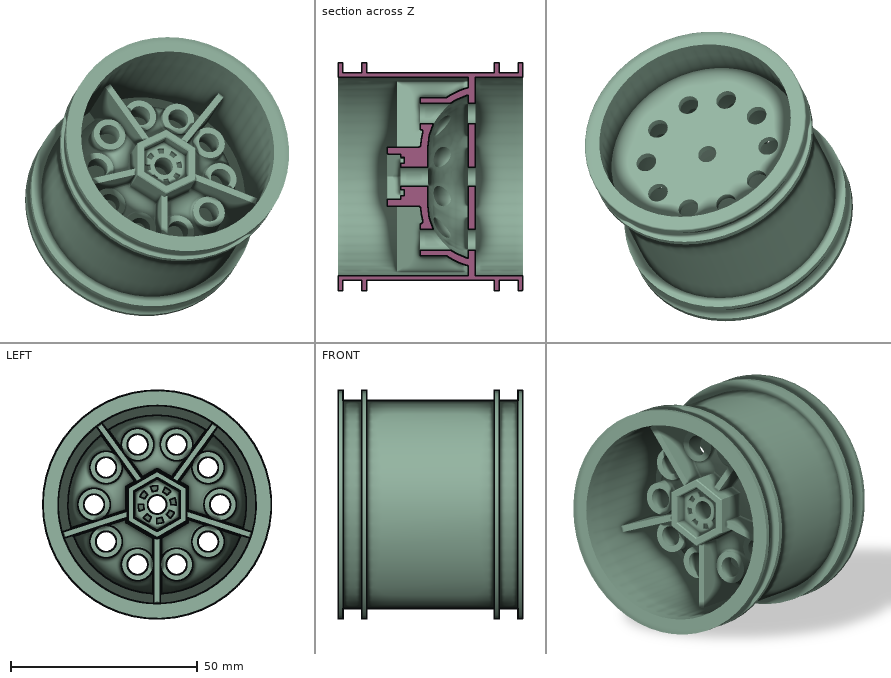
import cadquery as cq
import math

WIDTH = 49.58
FLANGE_RADIUS = 30.66
BARREL_RADIUS = 27.9
BORE_RADIUS = 26.55
FLANGE_THICKNESS = 1.4
FLANGE_PITCH = 6.35
BACK_EDGE_FILLET = 0.4

CROWN_X = 22.1
CROWN_RADIUS = 7.6
SHOULDER_RADIUS = 16.85
DOME_RADIUS = 23.93
WEB_THICKNESS = 2.0
ROOT_FILLET = 0.5

HUB_FACE_X = 13.1
HUB_FLATS = 16.0
SOCKET_FLATS = 12.0
SOCKET_DEPTH = 3.6
HUB_CHAMFER = 0.25
MOUTH_CHAMFER = HUB_CHAMFER * 0.999
AXLE_HOLE_RADIUS = 2.5

POCKET_COUNT = 8
POCKET_INNER_RADIUS = 3.65
POCKET_OUTER_RADIUS = 5.1
POCKET_START_ANGLE = -20.5
POCKET_SPAN_ANGLE = 22.0
POCKET_DEPTH = 1.0

BOSS_COUNT = 10
BOSS_CIRCLE_RADIUS = 16.9
BOSS_RADIUS = 4.35
BOSS_HOLE_RADIUS = 2.72
BOSS_FACE_X = 22.0

RIB_COUNT = 5
RIB_THICKNESS = 1.7
RIB_FACE_X = 15.8
FIRST_RIB_ANGLE = -90.0

SHOULDER_CENTRE_X = CROWN_X + SHOULDER_RADIUS
DOME_EDGE_SLOPE = math.asin((DOME_RADIUS - CROWN_RADIUS) / SHOULDER_RADIUS)
DOME_EDGE_X = SHOULDER_CENTRE_X - SHOULDER_RADIUS * math.cos(DOME_EDGE_SLOPE)
WEB_BACK_X = DOME_EDGE_X + WEB_THICKNESS

DOME_STEP = 0.01
SEAM_ANGLE = FIRST_RIB_ANGLE - 90 + 360 / RIB_COUNT
AXIS_START = (0, 0, 0)
AXIS_END = (1, 0, 0)


def cross_section(x):
    """Workplane across the axle at the given X; local x is Y and local y is Z."""
    return cq.Workplane("YZ", origin=(x, 0, 0))


def disc(start_x, end_x, radius):
    return cross_section(start_x).circle(radius).extrude(end_x - start_x)


def hexagon(start_x, end_x, flats):
    """Hexagonal prism along X with two corners on the Z axis."""
    corner_diameter = flats / math.cos(math.pi / 6)
    return (
        cross_section(start_x)
        .transformed(rotate=(0, 0, 90))
        .polygon(6, corner_diameter)
        .extrude(end_x - start_x)
    )


def rim():
    """Barrel with four flanges, bored right through."""
    body = disc(0, WIDTH, BARREL_RADIUS)
    front_flanges = (0, FLANGE_PITCH)
    back_flanges = [WIDTH - FLANGE_THICKNESS - x for x in front_flanges]
    for x in (*front_flanges, *back_flanges):
        body = body.union(disc(x, x + FLANGE_THICKNESS, FLANGE_RADIUS))
    outer_edge = cq.selectors.RadiusNthSelector(-1)
    body = body.faces(">X").edges(outer_edge).fillet(BACK_EDGE_FILLET)
    return body.cut(disc(0, WIDTH, BORE_RADIUS))


def dome_fill(offset):
    """Solid between the dome surface, moved inwards by the offset, and the plane of its edge."""
    radius = SHOULDER_RADIUS - offset

    def shoulder_point(slope):
        return (
            SHOULDER_CENTRE_X - radius * math.cos(slope),
            CROWN_RADIUS + radius * math.sin(slope),
        )

    end_slope = math.acos((SHOULDER_CENTRE_X - DOME_EDGE_X) / radius)
    return (
        cq.Workplane("XZ")
        .moveTo(CROWN_X + offset, 0)
        .lineTo(*shoulder_point(0))
        .threePointArc(shoulder_point(end_slope / 2), shoulder_point(end_slope))
        .lineTo(DOME_EDGE_X, 0)
        .close()
        .revolve(360, AXIS_START, AXIS_END)
        .rotate(AXIS_START, AXIS_END, SEAM_ANGLE)
    )


def rooted_on_dome(features, sink):
    """Join features to a dome sunk by the given amount and fillet the edges where they meet it."""
    joined = dome_fill(sink).union(features)
    dome_faces = joined.faces("%REVOLUTION")
    feature_edges = joined.faces("not %REVOLUTION").edges().vals()
    roots = [
        edge
        for edge in dome_faces.edges().vals()
        if edge.Center().x < DOME_EDGE_X - ROOT_FILLET
        and any(edge.isSame(other) for other in feature_edges)
    ]
    return joined.newObject(roots).fillet(ROOT_FILLET)


def hub():
    body = hexagon(HUB_FACE_X, DOME_EDGE_X, HUB_FLATS)
    return body.faces("<X").edges().chamfer(HUB_CHAMFER)


def bosses():
    return (
        cross_section(BOSS_FACE_X)
        .polarArray(BOSS_CIRCLE_RADIUS, 0, 360, BOSS_COUNT)
        .circle(BOSS_RADIUS)
        .extrude(DOME_EDGE_X - BOSS_FACE_X)
    )


def ribs(end_radius):
    """Flat ribs from the axis out to a cylinder of the given radius."""
    body = cq.Workplane("XY")
    for index in range(RIB_COUNT):
        rib = (
            cross_section(RIB_FACE_X)
            .transformed(rotate=(0, 0, FIRST_RIB_ANGLE + index * 360 / RIB_COUNT))
            .center(end_radius / 2, 0)
            .rect(end_radius, RIB_THICKNESS)
            .extrude(DOME_EDGE_X - RIB_FACE_X)
        )
        body = body.union(rib)
    return body.intersect(disc(RIB_FACE_X, DOME_EDGE_X, end_radius))


def web():
    """Hollow dome with hub, bosses and ribs, carried on a flat ring inside the barrel."""
    body = rooted_on_dome(bosses(), 0)
    body = body.union(rooted_on_dome(hub(), DOME_STEP))
    body = body.union(rooted_on_dome(ribs(BORE_RADIUS), 2 * DOME_STEP))
    flat_ring = disc(DOME_EDGE_X, WEB_BACK_X, BORE_RADIUS)
    hollow = dome_fill(WEB_THICKNESS)
    hollow_mouth = hollow.faces(">X").wires().toPending().extrude(WEB_THICKNESS)
    return body.union(flat_ring).cut(hollow).cut(hollow_mouth)


def socket():
    """Hexagonal recess with a chamfered mouth."""
    recess = hexagon(HUB_FACE_X, HUB_FACE_X + SOCKET_DEPTH, SOCKET_FLATS)
    mouth_flats = SOCKET_FLATS + 2 * HUB_CHAMFER
    mouth = hexagon(HUB_FACE_X, HUB_FACE_X + HUB_CHAMFER, mouth_flats)
    return recess.union(mouth.faces(">X").edges().chamfer(MOUTH_CHAMFER))


def floor_pockets():
    """Ring-sector pockets sunk into the socket floor."""
    floor_x = HUB_FACE_X + SOCKET_DEPTH

    def ring_point(radius, angle):
        return (radius * math.cos(math.radians(angle)), radius * math.sin(math.radians(angle)))

    pockets = cq.Workplane("XY")
    for index in range(POCKET_COUNT):
        start = POCKET_START_ANGLE + index * 360 / POCKET_COUNT
        middle = start + POCKET_SPAN_ANGLE / 2
        end = start + POCKET_SPAN_ANGLE
        pocket = (
            cross_section(floor_x)
            .moveTo(*ring_point(POCKET_INNER_RADIUS, start))
            .lineTo(*ring_point(POCKET_OUTER_RADIUS, start))
            .threePointArc(ring_point(POCKET_OUTER_RADIUS, middle), ring_point(POCKET_OUTER_RADIUS, end))
            .lineTo(*ring_point(POCKET_INNER_RADIUS, end))
            .threePointArc(ring_point(POCKET_INNER_RADIUS, middle), ring_point(POCKET_INNER_RADIUS, start))
            .close()
            .extrude(POCKET_DEPTH)
        )
        pockets = pockets.union(pocket)
    return pockets


def through_holes():
    boss_holes = (
        cross_section(0)
        .polarArray(BOSS_CIRCLE_RADIUS, 0, 360, BOSS_COUNT)
        .circle(BOSS_HOLE_RADIUS)
        .extrude(WIDTH)
    )
    return boss_holes.union(disc(0, WIDTH, AXLE_HOLE_RADIUS))


result = rim().union(web()).cut(socket()).cut(floor_pockets()).cut(through_holes())